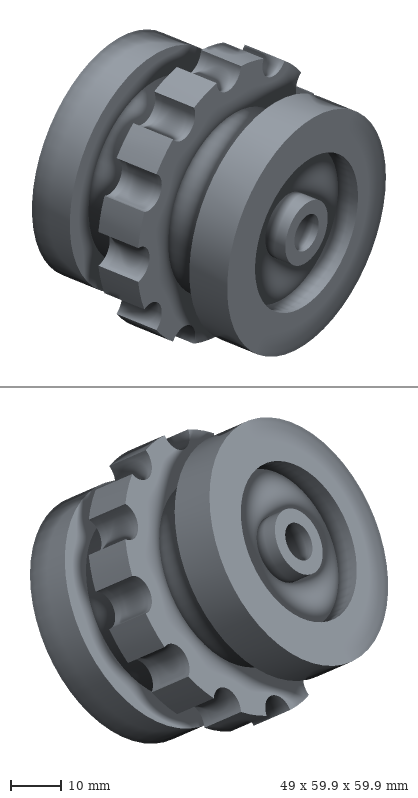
import cadquery as cq
import math

flange_width = 9.5
drum_width = 10.0
sprocket_width = 10.0
total_width = 2 * flange_width + 2 * drum_width + sprocket_width

flange_diameter = 52.42
drum_diameter = 40.0
sprocket_diameter = 60.4
recess_diameter = 34.0
boss_diameter = 14.0
bore_diameter = 8.0

recess_depth = 5.0

notch_count = 12
notch_diameter = 8.0
notch_circle_radius = sprocket_diameter / 2


def cylinder(diameter, x_start, length):
    """Solid cylinder on the X axis, from x_start towards +X."""
    return cq.Workplane("YZ", origin=(x_start, 0, 0)).circle(diameter / 2).extrude(length)


def make_sprocket():
    """Central disc with round roller notches spaced evenly around its rim."""
    sprocket_start = -sprocket_width / 2
    notch_angles = [2 * math.pi * i / notch_count for i in range(notch_count)]
    centres = [
        (notch_circle_radius * math.cos(angle), notch_circle_radius * math.sin(angle))
        for angle in notch_angles
    ]
    notches = (
        cq.Workplane("YZ", origin=(sprocket_start, 0, 0))
        .pushPoints(centres)
        .circle(notch_diameter / 2)
        .extrude(sprocket_width)
    )
    return cylinder(sprocket_diameter, sprocket_start, sprocket_width).cut(notches)


def make_end_recess():
    """Ring-shaped cavity of the -X end face, open around the boss."""
    end_face = -total_width / 2
    recess = cylinder(recess_diameter, end_face, recess_depth)
    boss = cylinder(boss_diameter, end_face, recess_depth)
    return recess.cut(boss)


body = cylinder(drum_diameter, -total_width / 2, total_width)
for flange_start in (-total_width / 2, total_width / 2 - flange_width):
    body = body.union(cylinder(flange_diameter, flange_start, flange_width))
body = body.union(make_sprocket())

end_recess = make_end_recess()
body = body.cut(end_recess).cut(end_recess.mirror("YZ"))

result = body.cut(cylinder(bore_diameter, -total_width / 2, total_width))